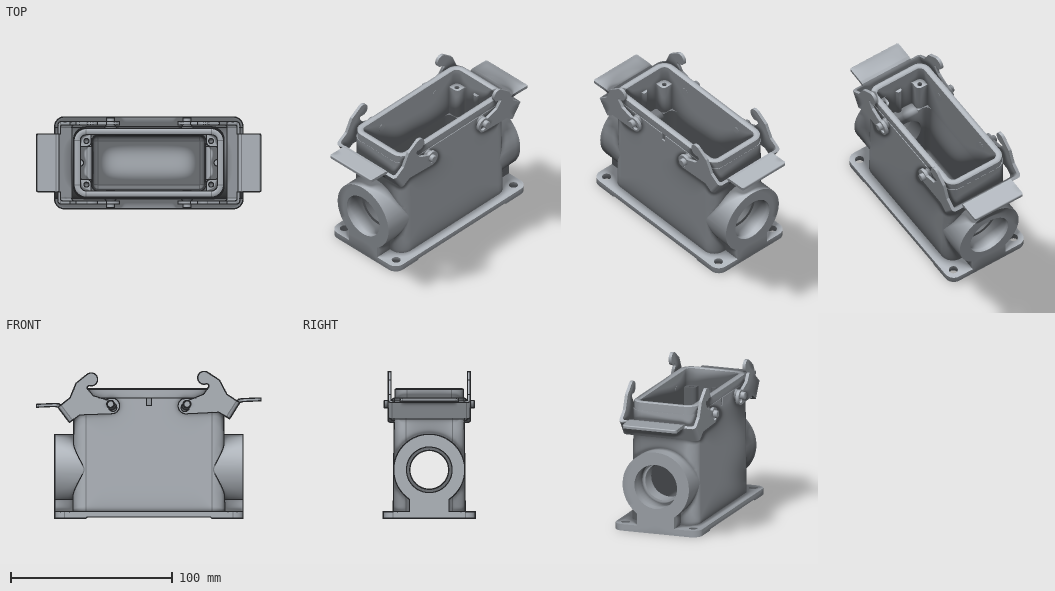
import cadquery as cq
import math

BASE_LENGTH = 116.8
BASE_WIDTH = 57.0
BASE_THICKNESS = 4.2
BASE_CORNER_RADIUS = 6.1
MOUNT_HOLE_DIAMETER = 5.6
MOUNT_HOLE_SPACING_X = 104.0
MOUNT_HOLE_SPACING_Y = 44.9
RELIEF_LENGTH = 78.1
RELIEF_DEPTH = 0.8

BODY_LENGTH = 94.3
BODY_WIDTH = 44.8
BODY_CORNER_RADIUS = 8.1
BODY_DRAFT = 0.6
SHOULDER_Z = 74.7
RIM_LENGTH = 92.6
RIM_WIDTH = 42.5
RIM_CORNER_RADIUS = 7.5
RIM_Z = 80.5
CROWN_HEIGHT = 0.5
WALL = 3.83

CAVITY_LENGTH = RIM_LENGTH - 2 * WALL
CAVITY_WIDTH = RIM_WIDTH - 2 * WALL
CAVITY_CORNER_RADIUS = RIM_CORNER_RADIUS - WALL
LEDGE_Z = 48.2
LEDGE_ROUND = 2.8
PIT_LENGTH = 70.8
PIT_CORNER_RADIUS = 4.0
PIT_DRAFT = 1.4
FLOOR_Z = BASE_THICKNESS
FLOOR_ROUND = 2.8

POST_TOP_Z = 69.0
POST_LENGTH = 6.7
POST_WIDTH = 7.3
POST_ROUND = 2.6
POST_ROOT_ROUND = 0.8
POST_HOLE_DIAMETER = 3.0
POST_HOLE_DEPTH = 11.2
POST_HOLE_X = 38.6
POST_HOLE_Y = 13.5
DRILL_POINT_ANGLE = 118
RIB_DIAMETER = 4.0

ENTRY_Z = 30.1
ENTRY_DIAMETER = 44.0
ENTRY_MOUTH_DIAMETER = 28.3
ENTRY_MOUTH_DEPTH = 13.4
ENTRY_BORE_DIAMETER = 24.0
ENTRY_FOOT_WIDTH = 24.5

NOTCH_WIDTH = 3.0
NOTCH_HEIGHT = 4.9
NOTCH_DEPTH = 0.7

LEVER_WIDTH = 51.0
SHEET = 2.0
BEND_OUTER_RADIUS = 2.4
BEND_INNER_RADIUS = 1.7
LEVER_TILT = 2.5
EYE_CENTER = (0.7, -1.1)
EYE_RADIUS = 4.9
SLOT_TRAVEL = 2 * math.hypot(*EYE_CENTER)
HOOK_CENTER = (-11.3, 15.83)
HOOK_RADIUS = 4.0
HANDLE_REACH = 46.0
HANDLE_WIDTH = 36.0
HANDLE_CORNER_RADIUS = 1.4
HANDLE_EDGE_ROUND = 0.7
PLATE_RISE = 1.3

NECK = (-10.6, 5.7)
THROAT_FRONT = (-13.4, 9.6)
THROAT_BACK = (-14.0, 10.9)
BACK_CORNER = (-20.8, 14.0)
WAIST = (-25.0, 5.0)
PLATE_TOP = (-31.1, 0.5)
PLATE_BOTTOM = (-24.4, -9.2)
BELLY = (-19.4, -5.9)
HANDLE_BEND_OUTER = (-33.9, SHEET)
HANDLE_BEND_INNER = (-34.7, 0)

PIN_X = 23.7
PIN_Z = 70.8
PIN_DIAMETER = 4.7
PIN_TIP_DIAMETER = 4.0
PIN_SPAN = 56.0
PIN_PROUD_INSIDE = 0.1
COLLAR_ROOT_DIAMETER = 7.8
COLLAR_DIAMETER = 7.0
COLLAR_Y = 22.5
COLLAR_TIP_DIAMETER = 5.0
LEVER_INNER_Y = LEVER_WIDTH / 2 - SHEET

ENDS = (-1, 1)
CORNERS = [(side_x, side_y) for side_x in ENDS for side_y in ENDS]


def polar(center, radius, degrees):
    angle = math.radians(degrees)
    return (center[0] + radius * math.cos(angle), center[1] + radius * math.sin(angle))


def rounded_block(length, width, start_z, end_z, corner_radius, draft=0):
    outline = cq.Sketch().rect(length, width).vertices().fillet(corner_radius)
    return (
        cq.Workplane("XY", origin=(0, 0, start_z))
        .placeSketch(outline).extrude(end_z - start_z, taper=draft)
    )


def cylinder_along_x(diameter, start_x, end_x):
    return (
        cq.Workplane("YZ", origin=(start_x, 0, ENTRY_Z))
        .circle(diameter / 2).extrude(end_x - start_x)
    )


def make_base():
    base = rounded_block(BASE_LENGTH, BASE_WIDTH, 0, BASE_THICKNESS, BASE_CORNER_RADIUS)
    mount_holes = (
        cq.Workplane("XY").rect(MOUNT_HOLE_SPACING_X, MOUNT_HOLE_SPACING_Y, forConstruction=True)
        .vertices().circle(MOUNT_HOLE_DIAMETER / 2).extrude(BASE_THICKNESS)
    )
    foot_x = RELIEF_LENGTH / 2
    roof_x = foot_x - RELIEF_DEPTH
    relief = (
        cq.Workplane("XZ")
        .polyline([(-foot_x, 0), (foot_x, 0), (roof_x, RELIEF_DEPTH), (-roof_x, RELIEF_DEPTH)])
        .close().extrude(BASE_WIDTH / 2, both=True)
    )
    return base.cut(mount_holes).cut(relief)


def make_walls():
    body = rounded_block(
        BODY_LENGTH, BODY_WIDTH, BASE_THICKNESS, SHOULDER_Z, BODY_CORNER_RADIUS, BODY_DRAFT
    )
    rim = rounded_block(RIM_LENGTH, RIM_WIDTH, BASE_THICKNESS, RIM_Z - CROWN_HEIGHT, RIM_CORNER_RADIUS)
    return body.union(rim)


def make_crown():
    edge_z = RIM_Z - CROWN_HEIGHT
    middle_y = (RIM_WIDTH - WALL) / 2
    path = (
        rounded_block(RIM_LENGTH - WALL, RIM_WIDTH - WALL, edge_z, RIM_Z, RIM_CORNER_RADIUS - WALL / 2)
        .faces("<Z").wires()
    )
    return (
        cq.Workplane("YZ").moveTo(-middle_y - WALL / 2, edge_z)
        .threePointArc((-middle_y, RIM_Z), (-middle_y + WALL / 2, edge_z))
        .close().sweep(path)
    )


def make_entries():
    barrel = cylinder_along_x(ENTRY_DIAMETER, -BASE_LENGTH / 2, BASE_LENGTH / 2)
    foot = (
        cq.Workplane("XY", origin=(0, 0, BASE_THICKNESS))
        .rect(BASE_LENGTH, ENTRY_FOOT_WIDTH).extrude(ENTRY_Z - BASE_THICKNESS)
    )
    return barrel.union(foot)


def make_entry_bores():
    end_x = BASE_LENGTH / 2
    bores = cylinder_along_x(ENTRY_BORE_DIAMETER, -end_x, end_x)
    for side in ENDS:
        mouth = cylinder_along_x(ENTRY_MOUTH_DIAMETER, side * end_x, side * (end_x - ENTRY_MOUTH_DEPTH))
        bores = bores.union(mouth)
    return bores


def make_ledge_round(side):
    top_x = PIT_LENGTH / 2 + LEDGE_ROUND
    wall_x = PIT_LENGTH / 2 - LEDGE_ROUND * math.tan(math.radians(PIT_DRAFT))
    bottom_z = LEDGE_Z - LEDGE_ROUND
    middle_x, middle_z = polar((top_x, bottom_z), LEDGE_ROUND, 135)
    return (
        cq.Workplane("XZ").moveTo(side * top_x, LEDGE_Z)
        .threePointArc((side * middle_x, middle_z), (side * wall_x, bottom_z))
        .lineTo(side * wall_x, LEDGE_Z).close()
        .extrude(CAVITY_WIDTH / 2 - POST_WIDTH, both=True)
    )


def make_cavity():
    upper = rounded_block(CAVITY_LENGTH, CAVITY_WIDTH, LEDGE_Z, RIM_Z, CAVITY_CORNER_RADIUS)
    pit = rounded_block(PIT_LENGTH, CAVITY_WIDTH, LEDGE_Z, FLOOR_Z, PIT_CORNER_RADIUS, PIT_DRAFT)
    pit = pit.faces("<Z").edges().fillet(FLOOR_ROUND)
    cavity = upper.union(pit)
    for side in ENDS:
        cavity = cavity.union(make_ledge_round(side))
    return cavity


def make_post(side_x, side_y):
    length = POST_LENGTH + WALL / 2
    width = POST_WIDTH + WALL / 2
    center_x = side_x * (CAVITY_LENGTH / 2 - POST_LENGTH + length / 2)
    center_y = side_y * (CAVITY_WIDTH / 2 - POST_WIDTH + width / 2)
    free_corner = cq.selectors.NearestToPointSelector((0, 0, (LEDGE_Z + POST_TOP_Z) / 2))
    return (
        cq.Workplane("XY", origin=(center_x, center_y, LEDGE_Z))
        .rect(length, width).extrude(POST_TOP_Z - LEDGE_Z)
        .edges("|Z").edges(free_corner).fillet(POST_ROUND)
    )


def make_post_hole(side_x, side_y):
    radius = POST_HOLE_DIAMETER / 2
    point_depth = radius / math.tan(math.radians(DRILL_POINT_ANGLE / 2))
    profile = [
        (0, 0), (radius, 0), (radius, -POST_HOLE_DEPTH), (0, -POST_HOLE_DEPTH - point_depth),
    ]
    hole = cq.Workplane("XZ").polyline(profile).close().revolve(360, (0, 0, 0), (0, 1, 0))
    return hole.translate((side_x * POST_HOLE_X, side_y * POST_HOLE_Y, POST_TOP_Z))


def add_posts(housing):
    for side_x, side_y in CORNERS:
        housing = housing.union(make_post(side_x, side_y))
    for side_x, side_y in CORNERS:
        root = cq.selectors.NearestToPointSelector((
            side_x * CAVITY_LENGTH / 2,
            side_y * (CAVITY_WIDTH / 2 - POST_WIDTH),
            (LEDGE_Z + POST_TOP_Z) / 2,
        ))
        housing = housing.edges("|Z").edges(root).fillet(POST_ROOT_ROUND)
        housing = housing.cut(make_post_hole(side_x, side_y))
    return housing


def add_end_ribs(housing):
    for side in ENDS:
        rib = (
            cq.Workplane("XY", origin=(side * CAVITY_LENGTH / 2, 0, LEDGE_Z))
            .circle(RIB_DIAMETER / 2).extrude(POST_TOP_Z - LEDGE_Z)
        )
        housing = housing.union(rib)
    return housing


def make_notch():
    return (
        cq.Workplane("XY", origin=(0, -RIM_WIDTH / 2, SHOULDER_Z))
        .rect(NOTCH_WIDTH, 2 * NOTCH_DEPTH).extrude(-NOTCH_HEIGHT)
    )


def make_pin(side_x, side_y):
    wall_y = RIM_WIDTH / 2
    tip_y = PIN_SPAN / 2
    tip_chamfer = (PIN_DIAMETER - PIN_TIP_DIAMETER) / 2
    profile = [
        (0, CAVITY_WIDTH / 2 - PIN_PROUD_INSIDE),
        (PIN_DIAMETER / 2, CAVITY_WIDTH / 2 - PIN_PROUD_INSIDE),
        (PIN_DIAMETER / 2, wall_y),
        (COLLAR_ROOT_DIAMETER / 2, wall_y),
        (COLLAR_DIAMETER / 2, COLLAR_Y),
        (COLLAR_TIP_DIAMETER / 2, LEVER_INNER_Y),
        (PIN_DIAMETER / 2, LEVER_INNER_Y),
        (PIN_DIAMETER / 2, tip_y - tip_chamfer),
        (PIN_TIP_DIAMETER / 2, tip_y),
        (0, tip_y),
    ]
    profile = [(radius, side_y * y) for radius, y in profile]
    pin = cq.Workplane("XY").polyline(profile).close().revolve(360, (0, 0, 0), (0, 1, 0))
    return pin.translate((side_x * PIN_X, 0, PIN_Z))


def make_housing():
    housing = make_walls().union(make_entries()).union(make_base())
    housing = housing.cut(make_cavity()).cut(make_entry_bores()).cut(make_notch())
    housing = add_posts(housing)
    housing = add_end_ribs(housing)
    housing = housing.union(make_crown())
    for side_x, side_y in CORNERS:
        housing = housing.union(make_pin(side_x, side_y))
    return housing


PLATE_RUN = PLATE_BOTTOM[0] - PLATE_TOP[0]
PLATE_DROP = PLATE_TOP[1] - PLATE_BOTTOM[1]
PLATE_LENGTH = math.hypot(PLATE_RUN, PLATE_DROP)
INWARD = (PLATE_DROP / PLATE_LENGTH, PLATE_RUN / PLATE_LENGTH)


def outside_of_plate(point):
    return (point[0] - SHEET * INWARD[0], point[1] - SHEET * INWARD[1])


def make_lever_block():
    return (
        cq.Workplane("XZ").moveTo(*polar(EYE_CENTER, EYE_RADIUS, -90))
        .threePointArc(polar(EYE_CENTER, EYE_RADIUS, 0), polar(EYE_CENTER, EYE_RADIUS, 128))
        .lineTo(*NECK)
        .lineTo(*THROAT_FRONT)
        .threePointArc(THROAT_BACK, polar(HOOK_CENTER, HOOK_RADIUS, -100))
        .threePointArc(polar(HOOK_CENTER, HOOK_RADIUS, 10), polar(HOOK_CENTER, HOOK_RADIUS, 126))
        .lineTo(*BACK_CORNER)
        .lineTo(*WAIST)
        .lineTo(*PLATE_TOP)
        .lineTo(*outside_of_plate(PLATE_TOP))
        .lineTo(*outside_of_plate(PLATE_BOTTOM))
        .lineTo(*BELLY)
        .close().extrude(LEVER_WIDTH / 2, both=True)
    )


def make_channel(depth, width, corner_radius):
    reach = HANDLE_REACH
    start_x, start_z = outside_of_plate(PLATE_TOP)
    plane = cq.Plane(
        origin=(start_x, 0, start_z),
        xDir=(INWARD[0], 0, INWARD[1]),
        normal=(-INWARD[1], 0, INWARD[0]),
    )
    outline = (
        cq.Sketch().push([(depth + reach / 2, 0)]).rect(reach, width)
        .reset().vertices().fillet(corner_radius)
    )
    return cq.Workplane(plane).placeSketch(outline).extrude(reach, both=True)


def make_handle():
    bend_end = (PLATE_TOP[0] - PLATE_RISE * INWARD[1], PLATE_TOP[1] + PLATE_RISE * INWARD[0])
    round_center = (HANDLE_EDGE_ROUND - HANDLE_REACH, SHEET - HANDLE_EDGE_ROUND)
    strip = (
        cq.Workplane("XZ").moveTo(-HANDLE_REACH, 0)
        .lineTo(-HANDLE_REACH, round_center[1])
        .threePointArc(polar(round_center, HANDLE_EDGE_ROUND, 135), (round_center[0], SHEET))
        .lineTo(*HANDLE_BEND_OUTER)
        .lineTo(*bend_end)
        .lineTo(*PLATE_TOP)
        .lineTo(*outside_of_plate(PLATE_TOP))
        .lineTo(*HANDLE_BEND_INNER)
        .close().extrude(HANDLE_WIDTH / 2, both=True)
    )
    plan = rounded_block(2 * HANDLE_REACH, HANDLE_WIDTH, -SHEET, SHEET, HANDLE_CORNER_RADIUS)
    return strip.intersect(plan)


def make_slot():
    slot_angle = math.degrees(math.atan2(EYE_CENTER[1], EYE_CENTER[0]))
    return (
        cq.Workplane("XZ").center(*EYE_CENTER)
        .slot2D(SLOT_TRAVEL + PIN_DIAMETER, PIN_DIAMETER, slot_angle)
        .extrude(LEVER_WIDTH / 2, both=True)
    )


def make_lever(tilt):
    lever = make_lever_block().intersect(make_channel(0, LEVER_WIDTH, BEND_OUTER_RADIUS))
    lever = lever.cut(make_channel(SHEET, 2 * LEVER_INNER_Y, BEND_INNER_RADIUS))
    lever = lever.union(make_handle()).cut(make_slot())
    return lever.rotate((0, 0, 0), (0, -1, 0), tilt).translate((-PIN_X, 0, PIN_Z))


housing = make_housing()
levers = []
for side in ENDS:
    lever = make_lever(-side * LEVER_TILT)
    if side > 0:
        lever = lever.mirror("YZ")
    levers.append(lever.val())

result = cq.Compound.makeCompound([housing.val(), *levers])